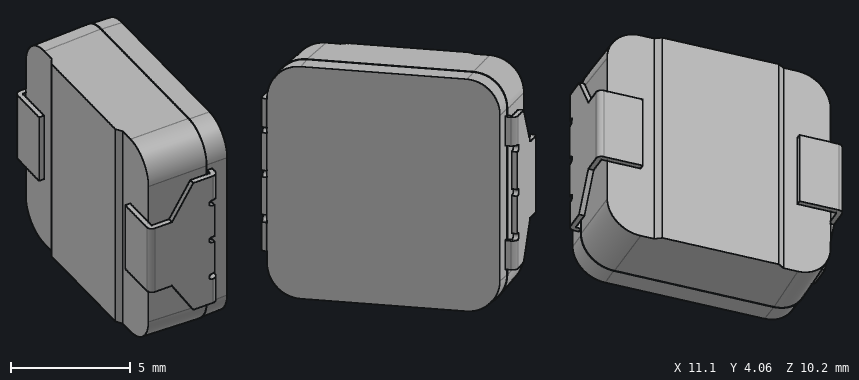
import cadquery as cq

length = 11.1
depth = 4.06
back_y = depth / 2
front_y = -depth / 2

body_size = 10.2
front_face_size = 10.08
back_parting_size = 10.15
back_face_size = 10.1
front_corner_radius = 1.5
back_corner_radius = 1.45
back_half_depth = 1.02
parting_y = back_y - back_half_depth

pad_base_width = 5.84
pad_top_width = 5.26
pad_height = 0.19

sheet = 0.24
plate_height = 6.64
foot_height = 3.33
foot_length = 2.01
terminal_back_y = 1.29
taper_start_y = 0.09
taper_end_y = -0.94
shoulder_y = front_y + sheet
pad_front_y = shoulder_y - pad_height

tab_root_z = 2.06
plate_back_y = 1.12
notch_radius = 0.14
notch_center_y = 1.01
tab_embed = 0.11
tab_height = plate_height / 2 - tab_root_z

outer_x = -length / 2
inner_x = outer_x + sheet


def drafted_block(front, back):
    """Solid between two rounded squares, each given as (size, radius, y)."""
    wires = []
    for size, radius, y in (front, back):
        slab = cq.Workplane("XZ", origin=(0, y, 0)).rect(size, size).extrude(0.11)
        rounded_slab = slab.edges("|Y").fillet(radius)
        wires.append(rounded_slab.faces(">Y").wires().val())
    ruled = True
    return cq.Workplane(cq.Solid.makeLoft(wires, ruled))


def make_left_shoulder_cut():
    """Material removed left of the pad, with its sloped flank."""
    return (
        cq.Workplane("XY", origin=(0, 0, -body_size / 2))
        .moveTo(-body_size / 2, shoulder_y)
        .lineTo(-pad_base_width / 2, shoulder_y)
        .lineTo(-pad_top_width / 2, pad_front_y)
        .lineTo(-body_size / 2, pad_front_y)
        .close()
        .extrude(body_size)
    )


def make_body():
    front_half = drafted_block(
        (front_face_size, front_corner_radius, pad_front_y),
        (body_size, front_corner_radius, parting_y),
    )
    back_half = drafted_block(
        (back_parting_size, back_corner_radius, parting_y),
        (back_face_size, back_corner_radius, back_y),
    )
    left_shoulder = make_left_shoulder_cut()
    front_half = front_half.cut(left_shoulder).cut(left_shoulder.mirror("YZ"))
    return front_half.union(back_half)


def make_plate():
    """Plate and foot, full height, with a sharp inside bend."""
    foot_end_x = outer_x + foot_length
    return (
        cq.Workplane("XY", origin=(0, 0, -plate_height / 2))
        .moveTo(inner_x, plate_back_y)
        .lineTo(outer_x, plate_back_y)
        .lineTo(outer_x, shoulder_y)
        .radiusArc((inner_x, front_y), -sheet)
        .lineTo(foot_end_x, front_y)
        .lineTo(foot_end_x, shoulder_y)
        .lineTo(inner_x, shoulder_y)
        .close()
        .extrude(plate_height)
    )


def make_plate_outline():
    """Plate silhouette along X, narrowing from the plate to the foot."""
    half_plate = plate_height / 2
    half_foot = foot_height / 2
    return (
        cq.Workplane("YZ", origin=(outer_x, 0, 0))
        .moveTo(plate_back_y, -half_plate)
        .lineTo(taper_start_y, -half_plate)
        .lineTo(taper_end_y, -half_foot)
        .lineTo(front_y, -half_foot)
        .lineTo(front_y, half_foot)
        .lineTo(taper_end_y, half_foot)
        .lineTo(taper_start_y, half_plate)
        .lineTo(plate_back_y, half_plate)
        .close()
        .extrude(foot_length)
    )


def make_notches():
    """Three round-ended notches in the back edge of the plate."""
    notch_offset = tab_root_z - notch_radius
    notch_length = 2 * (plate_back_y - notch_center_y + notch_radius)
    return (
        cq.Workplane("YZ", origin=(outer_x, 0, 0))
        .pushPoints([(plate_back_y, z) for z in (-notch_offset, 0, notch_offset)])
        .slot2D(notch_length, 2 * notch_radius)
        .extrude(sheet)
    )


def make_tab(base_z):
    """Tab bent inward from the back of the plate into the body."""
    tab_end_x = -back_parting_size / 2 + tab_embed
    bend_y = terminal_back_y - sheet
    return (
        cq.Workplane("XY", origin=(0, 0, base_z))
        .moveTo(outer_x, bend_y)
        .radiusArc((inner_x, terminal_back_y), sheet)
        .lineTo(tab_end_x, terminal_back_y)
        .lineTo(tab_end_x, bend_y)
        .close()
        .extrude(tab_height)
    )


def make_left_terminal():
    plate = make_plate().intersect(make_plate_outline()).cut(make_notches())
    for base_z in (-plate_height / 2, tab_root_z):
        corner = cq.Workplane("XY").box(sheet, sheet, tab_height, centered=False)
        corner = corner.translate((outer_x, terminal_back_y - sheet, base_z))
        plate = plate.cut(corner).union(make_tab(base_z))
    return plate


left_terminal = make_left_terminal()
right_terminal = left_terminal.mirror("YZ")

result = make_body().union(left_terminal).union(right_terminal)